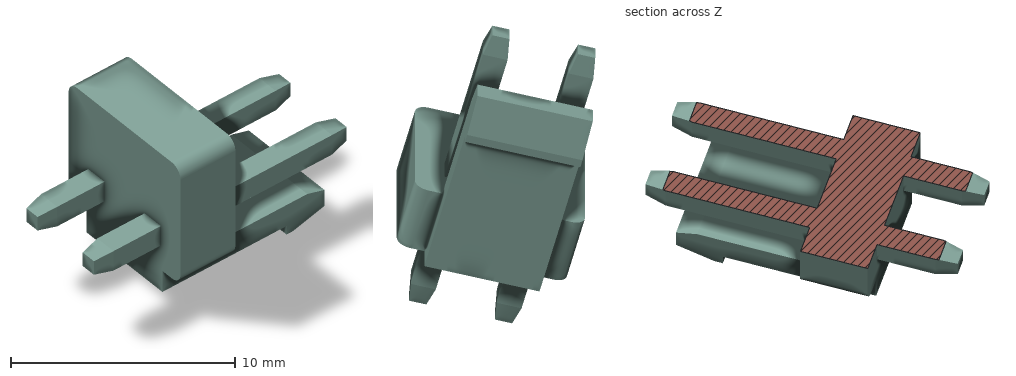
import cadquery as cq

pin_length = 14.6
pin_size = 1.14
pin_tip_size = 0.79
pin_taper_length = 1.0
pin_pitch = 3.95
pin_height = 3.71

housing_width = 7.85
housing_front = 3.72
housing_depth = 3.17
housing_bottom = 1.72
housing_top = 8.5
corner_radius = 0.61

tongue_width = 5.31
tongue_bottom = 0.5
tongue_top = housing_bottom
tongue_end = 13.08
lead_in_length = 1.0
lead_in_drop = 0.29
hook_front = 10.89
hook_tip_length = 0.38


def make_housing():
    """Block with its four edges along Y rounded."""
    height = housing_top - housing_bottom
    return (
        cq.Workplane("XY")
        .box(housing_width, housing_depth, height, centered=(True, False, False))
        .edges("|Y")
        .fillet(corner_radius)
        .translate((0, housing_front, housing_bottom))
    )


def make_tongue():
    """Latch tongue with a sloped top end and a hook underneath."""
    profile = [
        (housing_front, tongue_bottom),
        (hook_front, tongue_bottom),
        (hook_front, 0),
        (hook_front + hook_tip_length, 0),
        (tongue_end, tongue_bottom),
        (tongue_end, tongue_top - lead_in_drop),
        (tongue_end - lead_in_length, tongue_top),
        (housing_front, tongue_top),
    ]
    return cq.Workplane("YZ").polyline(profile).close().extrude(tongue_width / 2, both=True)


def make_taper():
    """Pin end narrowing from the shaft section to the tip, along +Y."""
    return (
        cq.Workplane("XZ")
        .rect(pin_size, pin_size)
        .workplane(offset=-pin_taper_length)
        .rect(pin_tip_size, pin_tip_size)
        .loft(ruled=True)
    )


def make_pin():
    """Square pin tapered at both ends, centred on the origin."""
    shaft_length = pin_length - 2 * pin_taper_length
    shaft = cq.Workplane("XY").box(pin_size, shaft_length, pin_size)
    back_taper = make_taper().translate((0, shaft_length / 2, 0))
    front_taper = back_taper.mirror("XZ")
    return shaft.union(back_taper).union(front_taper)


result = make_housing().union(make_tongue())
for side in (-1, 1):
    pin = make_pin().translate((side * pin_pitch / 2, pin_length / 2, pin_height))
    result = result.union(pin)